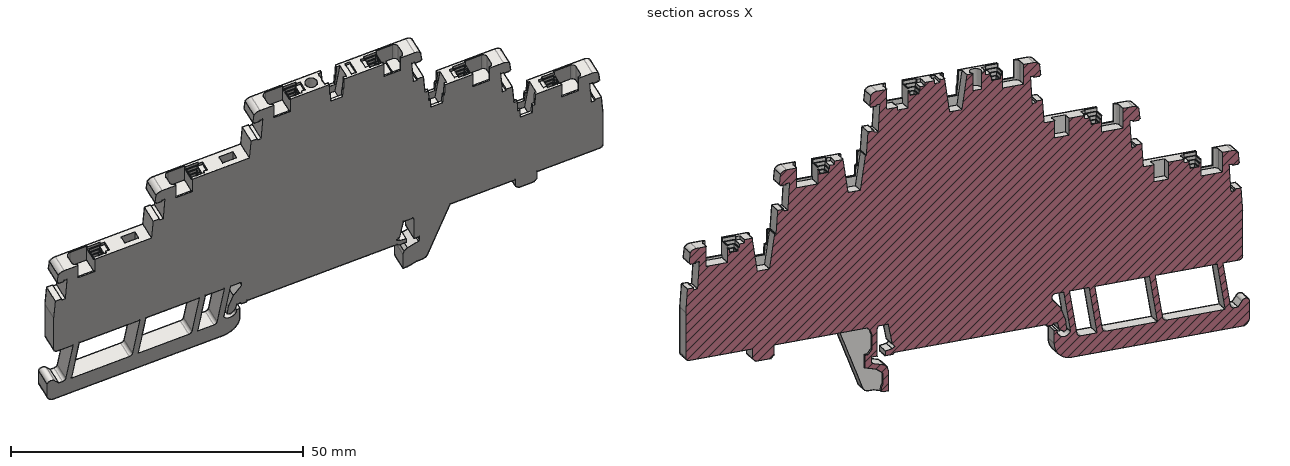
import cadquery as cq

WIDTH = 3.5
HALF_WIDTH = WIDTH / 2
HEIGHT = 56.5
HALF_LENGTH = 52.8

TIER_PITCH = 11.6
TIER_TOPS = [HEIGHT - i * TIER_PITCH for i in range(3)]
BODY_BOTTOM = 12.5
CORNER_RADIUS = 0.7
STEM_FLARE = 0.6
LEFT_TIP_PITCH = 16.9
RIGHT_TIP_PITCH = 18.6
LEFT_TIPS = [HALF_LENGTH - STEM_FLARE - i * LEFT_TIP_PITCH for i in (2, 1, 0)]
FIRST_RIGHT_TIP = -13.7
RIGHT_TIPS = [FIRST_RIGHT_TIP - i * RIGHT_TIP_PITCH for i in range(3)]

HOOK_ROUND_START = (-1.4, 0)
HOOK_ROUND_MIDDLE = (-0.7, 0.16)
HOOK_ROUND_END = (-0.2, 0.6)
HOOK_TO_SHOULDER = [
    (0, 2.5), (-0.3, 2.9), (-1.3, 2.9), (-1.4, 2.6), (-1.9, 2.6),
    (-1.6, 7.6), (-1.0, 7.6), (-0.8, 7.3), (0.3, 7.3),
]

SLOT_CENTRES = [2.2, 21.2, 38.3]
SLOT_TOP_WIDTHS = [2.9, 3.2, 3.5]
SLOT_BOTTOM_WIDTH = 2.2
SLOT_STEP_DEPTH = 2.6
SLOT_DEPTH = 4.5
SLOT_DRAFT = 0.1
SHAFT_WIDTH = 2.5
SHAFT_TOP_LENGTH = 4.1
SHAFT_BOTTOM_LENGTH = 2.2
SHAFT_DEPTH = 6.3

ENTRY_WIDTH = 3.0
ENTRY_LENGTH = 3.9
ENTRY_INSET = 3.3
ENTRY_DEPTH = 3.7
ENTRY_CORNER = 0.7
ENTRY_WINDOW_DEPTH = 3.3
WELL_LENGTH = 2.4
WELL_WIDTH = 2.5
WELL_STEP = 0.2
WELL_STEP_COUNT = 5
WELL_STEP_DEPTH = 0.6
WELL_TAIL_LENGTH = 0.7
WELL_TAIL_WIDTH = 1.9

TEST_HOLE_DIAMETER = 2.1
TEST_HOLE_Y = -1.8
TEST_HOLE_DEPTH = 3.2
TEST_SLOT_LENGTH = 2.6
TEST_SLOT_WIDTH = 1.5
TEST_SLOT_INSET = 14.7
TEST_SLOT_DEPTH = 3.2
MARK_Y = 5.7
MARK_LENGTH = 1.0
MARK_WIDTH = 2.5
MARK_DEPTH = 0.5
LEDGE_LENGTH = 2.0
LEDGE_HEIGHT = 0.5

HANGER_RECESS = 0.1
PEG_RECESS = 0.4
CLIP_PLATE_RECESS = 1.4
PEG_CENTRE = 38.3
PEG_LENGTH = 4.1
PEG_HEIGHT = 2.4
PEG_CHAMFER = 0.6

FOOT_TOP = 3.8
STRUT_TOPS = [-18.0, -22.7, -34.0, -46.7]
STRUT_SLANT = 1.5
STRUT_WIDTH = 1.2
STRUT_FILLET = 0.6

OVERLAP = 0.3


def prism(points, x_start, x_end):
    """Extrude a closed (Y, Z) polygon between two X positions."""
    sketch = cq.Workplane("YZ", origin=(x_start, 0, 0)).polyline(points).close()
    return sketch.extrude(x_end - x_start)


def recess_box(width, y_a, y_b, top, depth):
    """Box centred on X, sunk from a tier top between two Y positions."""
    size = (width, abs(y_b - y_a), depth)
    return cq.Workplane("XY").box(*size).translate((0, (y_a + y_b) / 2, top - depth / 2))


def half_tier(tip, outward, top):
    """One end of a tier, from the middle plane out to its hook and stem, down to the body bottom."""
    def place(offset):
        return (tip + outward * offset[0], top - offset[1])

    foot = tip + outward * STEM_FLARE
    outline = cq.Workplane("YZ", origin=(-HALF_WIDTH, 0, 0)).moveTo(0, BODY_BOTTOM).lineTo(0, top)
    outline = outline.lineTo(*place(HOOK_ROUND_START))
    outline = outline.threePointArc(place(HOOK_ROUND_MIDDLE), place(HOOK_ROUND_END))
    for offset in HOOK_TO_SHOULDER:
        outline = outline.lineTo(*place(offset))
    outline = outline.lineTo(foot, top - TIER_PITCH).lineTo(foot, BODY_BOTTOM)
    return outline.close().extrude(WIDTH)


def make_body():
    body = cq.Workplane("XY")
    for left_tip, right_tip, top in zip(LEFT_TIPS, RIGHT_TIPS, TIER_TOPS):
        body = body.add(half_tier(left_tip, 1, top)).add(half_tier(right_tip, -1, top))
    body = body.combine()
    return body.faces("<Z").edges("|X").fillet(CORNER_RADIUS)


def make_rail_seat():
    """Downward web that rests on the rail, with a tooth at one end and a beak at the other."""
    seat_bottom = 7.0
    tooth_bottom = 6.7
    points = [
        (14.9, BODY_BOTTOM + OVERLAP), (14.9, BODY_BOTTOM), (14.2, 8.7), (13.6, 8.1),
        (14.2, 7.8), (15.4, 7.6), (15.4, tooth_bottom), (14.0, tooth_bottom), (13.7, seat_bottom),
        (-14.8, seat_bottom), (-14.9, tooth_bottom), (-15.9, tooth_bottom), (-16.1, seat_bottom),
        (-16.8, seat_bottom), (-17.1, 5.7), (-18.1, 5.1), (-18.6, 5.4),
        (-18.4, 7.3), (-17.4, 9.7), (-15.9, 11.6), (-15.9, 12.2), (-16.2, BODY_BOTTOM),
        (-16.2, BODY_BOTTOM + OVERLAP),
    ]
    return prism(points, -HALF_WIDTH, HALF_WIDTH)


def make_foot():
    """Rail foot with an upturned lip at each end, joined to the body by slanted struts."""
    x_start = -HALF_WIDTH + HANGER_RECESS
    lip_top = 5.2
    foot = (
        cq.Workplane("YZ", origin=(x_start, 0, 0))
        .moveTo(-51.8, 0)
        .lineTo(-19.4, 0)
        .tangentArcPoint((-16.2, 3.3), relative=False)
        .lineTo(-16.2, 5.7)
        .lineTo(-16.8, 5.6)
        .threePointArc((-18.1, 4.2), (-19.3, 5.3))
        .lineTo(-20.1, FOOT_TOP)
        .lineTo(-50.6, FOOT_TOP)
        .lineTo(-51.4, 4.8)
        .threePointArc((-51.9, lip_top), (-HALF_LENGTH, 4.7))
        .lineTo(-HALF_LENGTH, 1.5)
        .threePointArc((-52.5, 0.5), (-51.8, 0))
        .close()
        .extrude(HALF_WIDTH - x_start)
    )
    for strut_top in STRUT_TOPS:
        strut_bottom = strut_top - STRUT_SLANT
        strut = [
            (strut_top, BODY_BOTTOM), (strut_bottom, FOOT_TOP),
            (strut_bottom, FOOT_TOP - OVERLAP), (strut_bottom - STRUT_WIDTH, FOOT_TOP - OVERLAP),
            (strut_bottom - STRUT_WIDTH, FOOT_TOP), (strut_top - STRUT_WIDTH, BODY_BOTTOM),
        ]
        foot = foot.union(prism(strut, x_start, HALF_WIDTH))
        root = strut_bottom - STRUT_WIDTH
        corner = cq.selectors.BoxSelector(
            (-WIDTH, root - OVERLAP, FOOT_TOP - OVERLAP), (WIDTH, root + OVERLAP, FOOT_TOP + OVERLAP))
        foot = foot.edges("|X").edges(corner).fillet(STRUT_FILLET)
    return foot


def make_clip():
    """Spring clip: a recessed plate bordered by a raised rim on the rail side."""
    x_start = -HALF_WIDTH + HANGER_RECESS
    plate_side = [
        (23.8, BODY_BOTTOM), (19.4, 1.2), (19.1, 0.7), (18.6, 0.5), (17.4, 0.5), (16.1, 0.1),
    ]
    rim_side = [
        (15.6, 0), (14.8, 0), (14.8, 3.8), (15.0, 4.5), (15.6, 5.1),
        (17.8, 5.7), (18.0, 5.9), (18.0, 6.9), (16.9, 6.9), (16.9, 12.0), (16.7, BODY_BOTTOM),
    ]
    rim_edge = [
        (16.3, 0), (16.2, 1.0), (15.9, 1.6), (15.9, 3.5), (17.1, 4.4), (19.2, 5.1), (19.2, 7.5),
        (18.7, 7.5), (18.0, 8.3), (18.0, 11.1), (18.3, 11.9), (18.8, BODY_BOTTOM),
    ]
    clip = prism(plate_side + rim_side, x_start, HALF_WIDTH)
    beyond_plate = [(24.3, BODY_BOTTOM), (24.3, 0)]
    return clip.cut(prism(rim_edge + beyond_plate, x_start, -HALF_WIDTH + CLIP_PLATE_RECESS))


def make_peg():
    x_length = WIDTH - PEG_RECESS
    peg = cq.Workplane("XY").box(x_length, PEG_LENGTH, PEG_HEIGHT + OVERLAP)
    peg = peg.faces("<Z").edges("|X").chamfer(PEG_CHAMFER)
    return peg.translate((PEG_RECESS / 2, PEG_CENTRE, BODY_BOTTOM - (PEG_HEIGHT - OVERLAP) / 2))


def slot_cutter(centre, top_width, top):
    """Stepped slot across the full width, with a tapered shaft sunk through it."""
    def across(points_half, x_half):
        mirrored = [(-y, drop) for y, drop in reversed(points_half)]
        points = [(centre + y, top - drop) for y, drop in points_half + mirrored]
        return prism(points, -x_half, x_half)

    low = SLOT_BOTTOM_WIDTH / 2
    upper = top_width / 2
    slot = across([(upper, 0), (upper - SLOT_DRAFT, SLOT_STEP_DEPTH),
                   (low + SLOT_DRAFT, SLOT_STEP_DEPTH), (low, SLOT_DEPTH)], HALF_WIDTH)
    shaft = across([(SHAFT_TOP_LENGTH / 2, 0), (SHAFT_BOTTOM_LENGTH / 2, SHAFT_DEPTH)],
                   SHAFT_WIDTH / 2)
    return slot.union(shaft)


def entry_cutter(tip, outward, top):
    """Conductor entry, its lowered +X wall and the stepped release well behind it."""
    entry_start = tip - outward * ENTRY_INSET
    entry_end = entry_start - outward * ENTRY_LENGTH
    entry = recess_box(ENTRY_WIDTH, entry_start, entry_end, top, ENTRY_DEPTH)
    outer_face = ">Y" if outward > 0 else "<Y"
    entry = entry.faces(outer_face).edges("|Z").fillet(ENTRY_CORNER)
    window = recess_box(HALF_WIDTH, entry_start - outward * ENTRY_CORNER, entry_end,
                        top, ENTRY_WINDOW_DEPTH)
    cutter = entry.union(window.translate((HALF_WIDTH / 2, 0, 0)))

    well_end = entry_end - outward * WELL_LENGTH
    for step in range(WELL_STEP_COUNT):
        inset = step * WELL_STEP
        cutter = cutter.union(recess_box(
            WELL_WIDTH - 2 * inset, entry_end - outward * inset, well_end + outward * inset,
            top, (step + 1) * WELL_STEP_DEPTH))
    tail_end = well_end - outward * WELL_TAIL_LENGTH
    return cutter.union(recess_box(WELL_TAIL_WIDTH, well_end, tail_end, top, WELL_STEP_DEPTH))


def cut_openings(block):
    for centre, top_width, top in zip(SLOT_CENTRES, SLOT_TOP_WIDTHS, TIER_TOPS):
        block = block.cut(slot_cutter(centre, top_width, top))
    for left_tip, right_tip, top in zip(LEFT_TIPS, RIGHT_TIPS, TIER_TOPS):
        block = block.cut(entry_cutter(left_tip, 1, top))
        block = block.cut(entry_cutter(right_tip, -1, top))
    for right_tip, top in zip(RIGHT_TIPS[1:], TIER_TOPS[1:]):
        slot_start = right_tip + TEST_SLOT_INSET - TEST_SLOT_LENGTH / 2
        block = block.cut(recess_box(
            TEST_SLOT_WIDTH, slot_start, slot_start + TEST_SLOT_LENGTH, top, TEST_SLOT_DEPTH))

    test_hole = cq.Workplane("XY").circle(TEST_HOLE_DIAMETER / 2).extrude(-TEST_HOLE_DEPTH)
    block = block.cut(test_hole.translate((0, TEST_HOLE_Y, HEIGHT)))
    block = block.cut(recess_box(
        MARK_WIDTH, MARK_Y - MARK_LENGTH / 2, MARK_Y + MARK_LENGTH / 2, HEIGHT, MARK_DEPTH))

    lower_floor_start = LEFT_TIPS[0] - ENTRY_INSET - LEDGE_LENGTH
    lower_floor_end = LEFT_TIPS[0] - ENTRY_INSET - ENTRY_LENGTH
    return block.cut(recess_box(
        ENTRY_WIDTH, lower_floor_start, lower_floor_end, HEIGHT, ENTRY_DEPTH + LEDGE_HEIGHT))


body = cut_openings(make_body())
result = body.union(make_rail_seat()).union(make_foot()).union(make_clip()).union(make_peg())